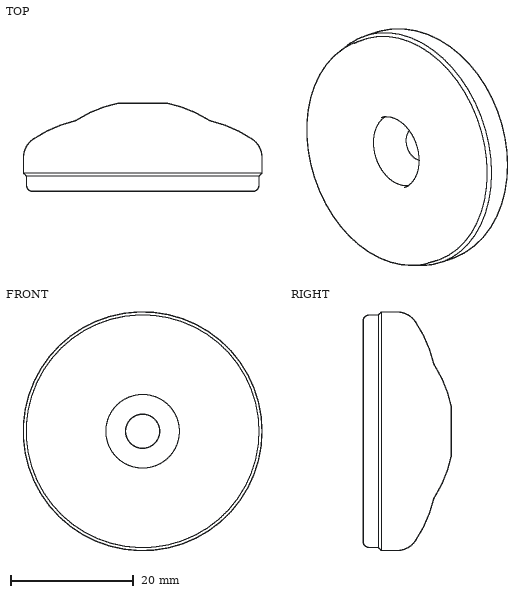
import cadquery as cq
import math


bore_radius = 6.0
base_thickness = 2.5
joint_chamfer = 0.5

cover_radius = 19.5
total_depth = 14.4
rim_end = 5.5
shoulder_radius = 3.7
shoulder_angle = math.radians(56)
crown_end = 11.57
crown_end_radius = 10.9
dome_radius = 20.0
dome_foot = 11.73
top_radius = 3.97

hole_radius = 2.75
mouth_fillet = 1.0
bore_depth = 6.4
floor_fillet = 0.5
floor_rise = 0.45

base_radius = cover_radius - joint_chamfer
base_rim_fillet = 1.0
base_bore_fillet = 0.5

dome_centre = total_depth - math.sqrt(dome_radius**2 - top_radius**2)
floor_radius = bore_radius - floor_fillet


def turned(outline):
    """Revolve a half outline, drawn as (radius, y), about the Y axis."""
    return outline.close().revolve(360, (0, 0, 0), (0, 1, 0))


def arc_point(centre, radius, angle):
    """Point on an arc, with the angle measured from the outward radial direction."""
    return (centre[0] + radius * math.cos(angle), centre[1] + radius * math.sin(angle))


def dome_point(y):
    """Point of the spherical dome at depth y."""
    return (math.sqrt(dome_radius**2 - (y - dome_centre) ** 2), y)


def make_base():
    """Flat ring with its two front edges rounded."""
    return turned(
        cq.Workplane("XY")
        .moveTo(bore_radius + base_bore_fillet, 0)
        .lineTo(base_radius - base_rim_fillet, 0)
        .radiusArc((base_radius, base_rim_fillet), -base_rim_fillet)
        .lineTo(base_radius, base_thickness)
        .lineTo(bore_radius, base_thickness)
        .lineTo(bore_radius, base_bore_fillet)
        .radiusArc((bore_radius + base_bore_fillet, 0), -base_bore_fillet)
    )


def make_cover():
    """Domed cover with a bore that narrows to a through hole."""
    shoulder_centre = (cover_radius - shoulder_radius, rim_end)
    return turned(
        cq.Workplane("XY")
        .moveTo(bore_radius + mouth_fillet, base_thickness)
        .lineTo(base_radius, base_thickness)
        .lineTo(cover_radius, base_thickness + joint_chamfer)
        .lineTo(cover_radius, rim_end)
        .threePointArc(
            arc_point(shoulder_centre, shoulder_radius, shoulder_angle / 2),
            arc_point(shoulder_centre, shoulder_radius, shoulder_angle),
        )
        .tangentArcPoint((crown_end_radius, crown_end), relative=False)
        .lineTo(*dome_point(dome_foot))
        .threePointArc(dome_point((dome_foot + total_depth) / 2), (top_radius, total_depth))
        .lineTo(hole_radius, total_depth)
        .lineTo(hole_radius, bore_depth + floor_rise)
        .lineTo(floor_radius, bore_depth)
        .radiusArc((bore_radius, bore_depth - floor_fillet), floor_fillet)
        .lineTo(bore_radius, base_thickness + mouth_fillet)
        .radiusArc((bore_radius + mouth_fillet, base_thickness), -mouth_fillet)
    )


base = make_base()
cover = make_cover()
result = cq.Compound.makeCompound([base.val(), cover.val()])